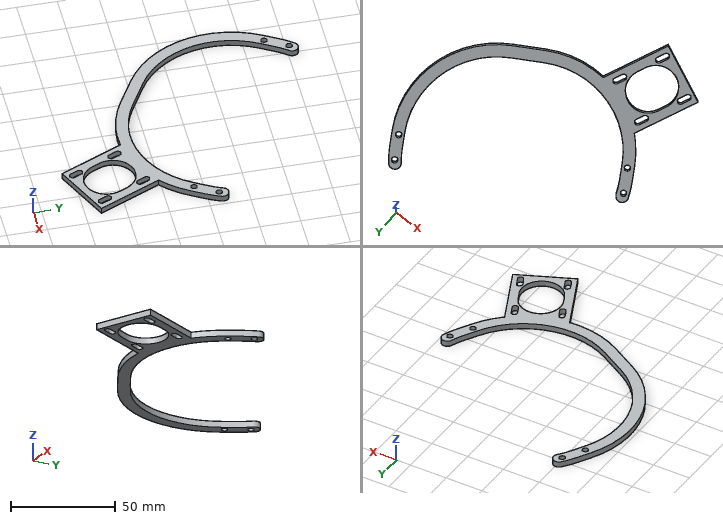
import cadquery as cq
import math

thickness = 3.1

arm_turn = -30
arm_width = 6.1
base_half_length = 8.1
corner_radius = 47.7
corner_center_y = -14.0
leg_bend_y = -6.3
tip_y = 1.6

arm_hole_diameter = 3.0
arm_hole_x = 55.5
arm_hole_pitch = 12.7

plate_turn = 24.5
plate_center = (26.4, -76.8)
plate_width = 31.5
plate_outer_reach = 16.7
plate_inner_reach = 19.6
bore_diameter = 22.0
bolt_spacing = 23.0
bolt_slot_width = 3.0
slot_travel = 4.0


def arm_plane():
    return cq.Workplane("XY").transformed(rotate=(0, 0, arm_turn))


def plate_plane():
    return cq.Workplane("XY").transformed(
        offset=(plate_center[0], plate_center[1], 0),
        rotate=(0, 0, plate_turn),
    )


def make_arm():
    side_x = base_half_length + corner_radius
    base_y = corner_center_y - corner_radius
    diagonal = corner_radius * math.sqrt(0.5)
    corner_mid_x = base_half_length + diagonal
    corner_mid_y = corner_center_y - diagonal

    tip_rise = tip_y - leg_bend_y
    tip_x = base_half_length + math.sqrt(corner_radius**2 - tip_rise**2)

    centerline = (
        arm_plane()
        .moveTo(-tip_x, tip_y)
        .radiusArc((-side_x, leg_bend_y), -corner_radius)
        .lineTo(-side_x, corner_center_y)
        .threePointArc((-corner_mid_x, corner_mid_y), (-base_half_length, base_y))
        .lineTo(base_half_length, base_y)
        .threePointArc((corner_mid_x, corner_mid_y), (side_x, corner_center_y))
        .lineTo(side_x, leg_bend_y)
        .radiusArc((tip_x, tip_y), -corner_radius)
        .wire()
    )
    return centerline.offset2D(arm_width / 2).extrude(thickness)


def make_plate():
    length = plate_outer_reach + plate_inner_reach
    middle_y = (plate_inner_reach - plate_outer_reach) / 2
    return plate_plane().center(0, middle_y).rect(plate_width, length).extrude(thickness)


def arm_holes():
    points = [(side * arm_hole_x, y) for side in (-1, 1) for y in (0, -arm_hole_pitch)]
    return arm_plane().pushPoints(points).circle(arm_hole_diameter / 2).extrude(thickness)


def plate_slots():
    bore = plate_plane().slot2D(bore_diameter + slot_travel, bore_diameter, 90).extrude(thickness)
    bolt_slots = (
        plate_plane()
        .rect(bolt_spacing, bolt_spacing, forConstruction=True)
        .vertices()
        .slot2D(bolt_slot_width + slot_travel, bolt_slot_width, 90)
        .extrude(thickness)
    )
    return bore.union(bolt_slots)


result = make_arm().union(make_plate()).cut(arm_holes()).cut(plate_slots())